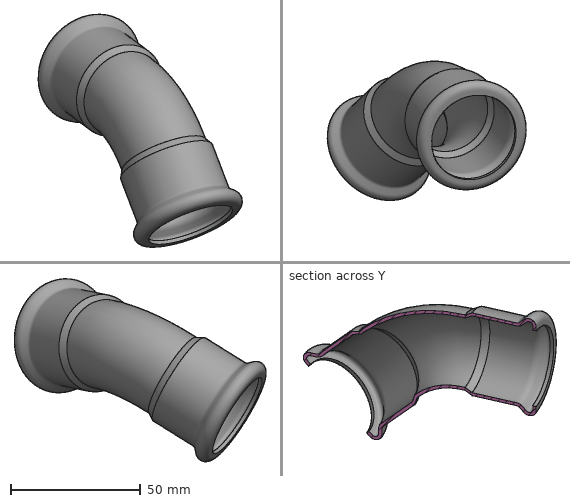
import cadquery as cq
import math

bend_angle = 45.0
bend_radius = 42.5
wall = 1.6

tube_radius = 17.4
socket_radius = 19.1
rim_radius = 22.3
lip_radius = 17.3

bead_radius = 3.0
fillet_radius = 2.1

step_start = 27.0
step_end = 30.0
socket_length = 31.4

DIAGONAL = math.cos(math.radians(45))
HALF_DIAGONAL_SIN = math.sin(math.radians(22.5))
HALF_DIAGONAL_COS = math.cos(math.radians(22.5))

bead_x = bead_radius
bead_r = rim_radius - bead_radius
fillet_r = socket_radius + fillet_radius
fillet_x = bead_x + bead_r + (bead_radius + fillet_radius) / DIAGONAL - fillet_r


def skin_body(offset):
    """Solid of revolution inside the socket skin lying `offset` below the outer surface."""
    bead = bead_radius - offset
    fillet = fillet_radius + offset
    profile = (
        cq.Workplane("XZ")
        .moveTo(offset, 0)
        .lineTo(offset, bead_r)
        .threePointArc(
            (bead_x - bead * HALF_DIAGONAL_SIN, bead_r + bead * HALF_DIAGONAL_COS),
            (bead_x + bead * DIAGONAL, bead_r + bead * DIAGONAL),
        )
        .lineTo(fillet_x - fillet * DIAGONAL, fillet_r - fillet * DIAGONAL)
        .threePointArc(
            (fillet_x - fillet * HALF_DIAGONAL_SIN, fillet_r - fillet * HALF_DIAGONAL_COS),
            (fillet_x, fillet_r - fillet),
        )
        .lineTo(step_start, socket_radius - offset)
        .lineTo(step_end, tube_radius - offset)
        .lineTo(socket_length, tube_radius - offset)
        .lineTo(socket_length, 0)
        .close()
    )
    return profile.revolve(360, (0, 0, 0), (1, 0, 0))


def make_socket():
    """Socket along +X with its open end at X = 0."""
    opening = cq.Workplane("YZ").circle(lip_radius).extrude(2 * wall)
    return skin_body(0).cut(skin_body(wall)).cut(opening)


def make_bend():
    """Curved tube turning downwards from the end of the first socket."""
    return (
        cq.Workplane("YZ", origin=(socket_length, 0, 0))
        .circle(tube_radius)
        .circle(tube_radius - wall)
        .revolve(bend_angle, (0, -bend_radius, 0), (1, -bend_radius, 0))
    )


first_socket = make_socket()

bend_centre = (socket_length, 0, -bend_radius)
second_socket = (
    first_socket.mirror("YZ", (socket_length, 0, 0))
    .rotate(bend_centre, (socket_length, 1, -bend_radius), bend_angle)
)

result = first_socket.union(make_bend()).union(second_socket)